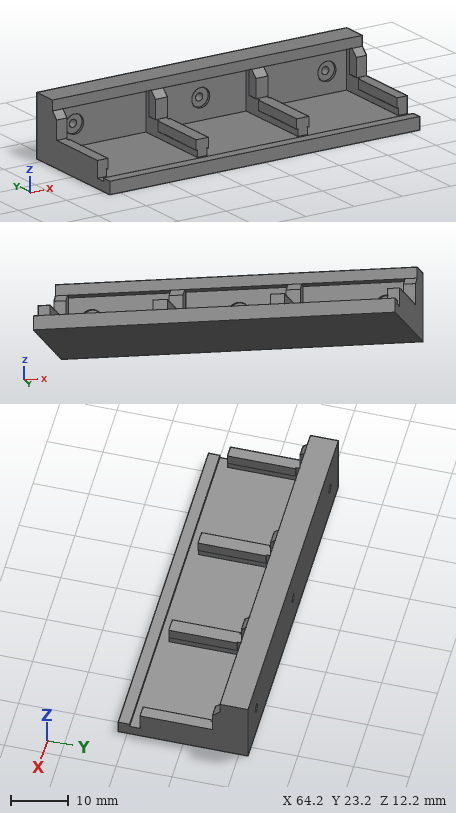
import cadquery as cq

length = 64.25
depth = 23.25
height = 12.2

bay_count = 3
bay_width = 18.3
divider_width = 2.5
bay_pitch = bay_width + divider_width
end_divider_width = (length - bay_count * bay_width - (bay_count - 1) * divider_width) / 2

top_rail_front = depth - 5.0
post_front = depth - 6.35
rib_front = depth - 19.35
lip_width = 2.05
floor_z = 1.9
lip_z = 2.5
rib_top_z = 5.2
post_chamfer_z = 8.9
bay_top_z = 10.2
bay_back = depth - 2.9

relief_step = 0.25
relief_margin = 1.35
relief_floor_z = floor_z + relief_margin
relief_back_y = bay_back - relief_margin
relief_rib_y = post_front - 0.8

hole_diameter = 1.5
counterbore_diameter = 3.7
counterbore_depth = 0.5
hole_pitch = 26.15
hole_z = 6.1


def extrude_along_x(points, start_x, width):
    """Extrude a closed YZ outline toward +X."""
    return cq.Workplane("YZ").polyline(points).close().extrude(width).translate((start_x, 0, 0))


def make_body():
    """Full-length stepped block with the rib and post profile."""
    profile = [
        (0, 0),
        (depth, 0),
        (depth, height),
        (top_rail_front, height),
        (top_rail_front, bay_top_z),
        (post_front, post_chamfer_z),
        (post_front, rib_top_z),
        (rib_front, rib_top_z),
        (rib_front, floor_z),
        (lip_width, floor_z),
        (lip_width, lip_z),
        (0, lip_z),
    ]
    return extrude_along_x(profile, 0, length)


def make_bay(start_x):
    """Open bay volume, widened by the relief near the floor and the back wall."""
    bay_profile = [
        (rib_front, floor_z),
        (bay_back, floor_z),
        (bay_back, bay_top_z),
        (rib_front, bay_top_z),
    ]
    relief_profile = [
        (rib_front, floor_z),
        (bay_back, floor_z),
        (bay_back, bay_top_z),
        (relief_back_y, bay_top_z),
        (relief_back_y, rib_top_z),
        (relief_rib_y, rib_top_z),
        (relief_rib_y, relief_floor_z),
        (rib_front, relief_floor_z),
    ]
    bay = extrude_along_x(bay_profile, start_x, bay_width)
    relief = extrude_along_x(relief_profile, start_x - relief_step, bay_width + 2 * relief_step)
    return bay.union(relief)


def make_screw_hole(center_x):
    """Counterbored hole running backward from the bay's back wall."""
    wall_plane = cq.Plane(origin=(center_x, bay_back, hole_z), xDir=(1, 0, 0), normal=(0, -1, 0))
    through = cq.Workplane(wall_plane).circle(hole_diameter / 2).extrude(bay_back - depth)
    counterbore = cq.Workplane(wall_plane).circle(counterbore_diameter / 2).extrude(-counterbore_depth)
    return through.union(counterbore)


result = make_body()
for bay_index in range(bay_count):
    result = result.cut(make_bay(end_divider_width + bay_index * bay_pitch))
for hole_offset in (-hole_pitch, 0, hole_pitch):
    result = result.cut(make_screw_hole(length / 2 + hole_offset))